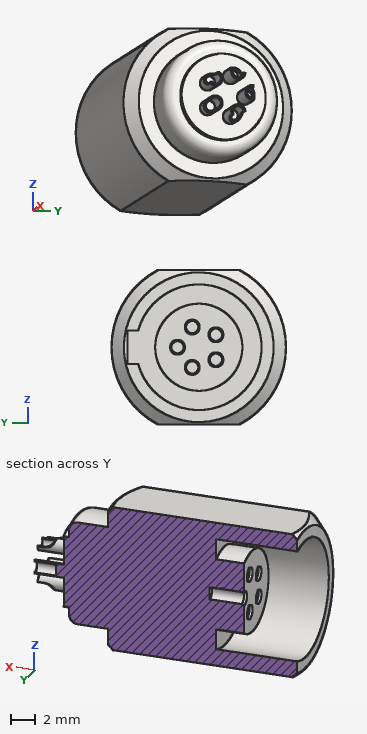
import cadquery as cq
import math

total_length = 22.7
body_length = 16.37
collar_end = 19.77
insulator_end = 20.2

body_diameter = 14.0
flat_height = 12.4
body_chamfer = 1.0

cavity_radius = 5.05
cavity_depth = 7.0
key_width = 2.68
key_reach = 5.7

collar_radius = 4.75
collar_fillet = 0.8
insulator_radius = 3.5
insulator_face = 4.59

contact_count = 5
contact_angle = 360 / contact_count
contact_circle_radius = 1.7
contact_radius = 0.6
socket_radius = 0.5
socket_depth = 3.0
countersink_depth = 0.23
cup_bore_radius = 0.45
cup_depth = 1.82
cup_cut_start = 21.25
cup_cut_offset = 0.102
cup_cut_radius = 1.1


def cylinder(x_start, x_end, radius):
    """Solid cylinder on the X axis."""
    return cq.Workplane("YZ").workplane(offset=x_start).circle(radius).extrude(x_end - x_start)


def place_contact(shape, index):
    """Move a shape from the part axis to its position on the contact circle."""
    shifted = shape.translate((0, contact_circle_radius, 0))
    return shifted.rotate((0, 0, 0), (1, 0, 0), index * contact_angle)


def make_body():
    """Chamfered round body with two flats, facing up and down."""
    round_body = cylinder(0, body_length, body_diameter / 2).edges().chamfer(body_chamfer)
    flats = cq.Workplane("XY").box(
        body_length, body_diameter, flat_height, centered=(False, True, True)
    )
    return round_body.intersect(flats)


def make_cavity():
    """Round mating cavity with a key slot on the +Y side."""
    key_slot = cq.Workplane("XY").box(
        cavity_depth, key_reach, key_width, centered=(False, False, True)
    )
    return cylinder(0, cavity_depth, cavity_radius).union(key_slot)


def make_collar():
    """Rear collar with a rounded outer edge."""
    collar = cylinder(body_length, collar_end, collar_radius)
    return collar.faces(">X").edges().fillet(collar_fillet)


def make_socket():
    """Blind socket hole, countersunk to the contact's full radius."""
    socket_end = insulator_face + socket_depth
    profile = [
        (insulator_face, 0),
        (insulator_face, contact_radius),
        (insulator_face + countersink_depth, socket_radius),
        (socket_end, socket_radius),
        (socket_end, 0),
    ]
    return cq.Workplane("XY").polyline(profile).close().revolve(360, (0, 0, 0), (1, 0, 0))


def make_solder_cup():
    """Bored contact tail, cut open on its outward (+Y) side with a curved run-out."""
    cut_height = contact_radius - cup_cut_offset
    cut_run = math.sqrt(cut_height * (2 * cup_cut_radius - cut_height))
    arc_end = cup_cut_start + cut_run
    arc_center_y = cup_cut_offset + cup_cut_radius
    half_angle = math.asin(cut_run / cup_cut_radius) / 2
    arc_middle = (
        arc_end - cup_cut_radius * math.sin(half_angle),
        arc_center_y - cup_cut_radius * math.cos(half_angle),
    )
    opening = (
        cq.Workplane("XY")
        .moveTo(cup_cut_start, contact_radius)
        .threePointArc(arc_middle, (arc_end, cup_cut_offset))
        .lineTo(total_length, cup_cut_offset)
        .lineTo(total_length, contact_radius)
        .close()
        .extrude(contact_radius, both=True)
    )
    bore = cylinder(total_length - cup_depth, total_length, cup_bore_radius)
    return cylinder(insulator_end, total_length, contact_radius).cut(bore).cut(opening)


insulator = cylinder(insulator_face, insulator_end, insulator_radius)
result = make_body().cut(make_cavity()).union(make_collar()).union(insulator)

socket = make_socket()
solder_cup = make_solder_cup()
for contact in range(contact_count):
    result = result.cut(place_contact(socket, contact))
    result = result.union(place_contact(solder_cup, contact))